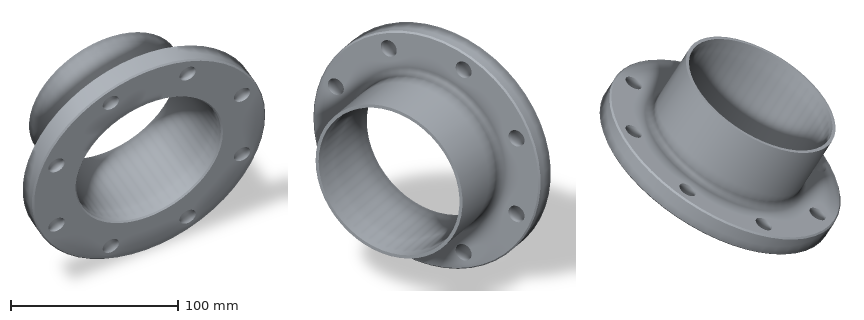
import cadquery as cq

flange_diameter = 157.0
flange_thickness = 14.0
flange_chamfer = 1.0

overall_length = 58.0
neck_diameter = 101.6
bore_diameter = 97.3
neck_fillet = 4.0
bore_chamfer = 1.0

bolt_count = 8
bolt_circle_diameter = 135.2
bolt_hole_diameter = 11.0
bolt_pitch_angle = 360 / bolt_count


def cylinder_from_mating_face(diameter, length):
    """Cylinder on the X axis running from x = 0 towards -X."""
    return cq.Workplane("YZ").circle(diameter / 2).extrude(-length)


def make_flange():
    disc = cylinder_from_mating_face(flange_diameter, flange_thickness)
    return disc.faces("<X or >X").edges().chamfer(flange_chamfer)


def make_body():
    body = make_flange().union(cylinder_from_mating_face(neck_diameter, overall_length))
    root_tolerance = 0.2
    half_box = neck_diameter / 2 + root_tolerance
    root = cq.selectors.BoxSelector(
        (-flange_thickness - root_tolerance, -half_box, -half_box),
        (-flange_thickness + root_tolerance, half_box, half_box),
        boundingbox=True,
    )
    return body.edges(root).fillet(neck_fillet)


def make_bolt_holes():
    return (
        cq.Workplane("YZ")
        .polarArray(bolt_circle_diameter / 2, bolt_pitch_angle / 2, 360, bolt_count)
        .circle(bolt_hole_diameter / 2)
        .extrude(-flange_thickness)
    )


def make_bore():
    """Through bore that flares out at the mating face."""
    flare_diameter = bore_diameter + 2 * bore_chamfer
    flare = (
        cq.Workplane("YZ")
        .circle(flare_diameter / 2)
        .workplane(offset=-bore_chamfer)
        .circle(bore_diameter / 2)
        .loft(ruled=True)
    )
    return cylinder_from_mating_face(bore_diameter, overall_length).union(flare)


result = make_body().cut(make_bore()).cut(make_bolt_holes())